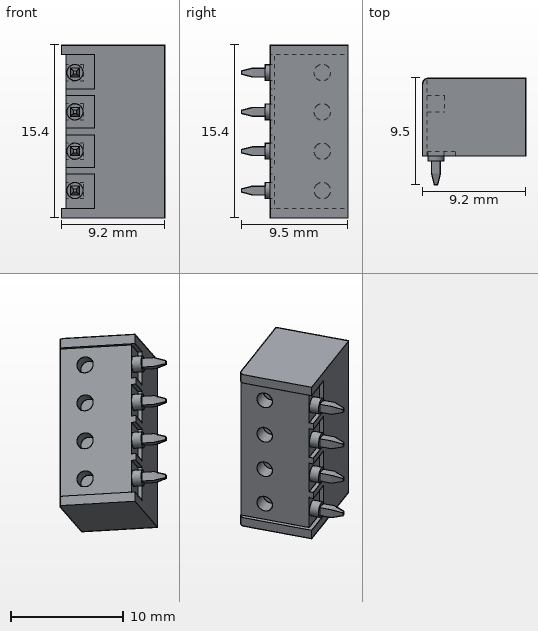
import cadquery as cq

body_width = 9.2
body_depth = 6.93
body_height = 15.39
edge_radius = 0.51

flange_thickness = 0.86
recess_depth = 0.4

contact_count = 4
end_contact_distance = 2.45
contact_pitch = (body_height - 2 * end_contact_distance) / (contact_count - 1)
contact_heights = [end_contact_distance + i * contact_pitch for i in range(contact_count)]

pocket_right_x = 2.94
pocket_depth = 0.4
rib_thickness = 0.6

pin_x = 1.2
collar_diameter = 1.43
collar_projection = 0.46
shank_side = 0.8
tip_side = 0.3
tip_length = 0.98
pin_projection = 2.57

hole_diameter = 1.46
hole_depth = 1.54
hole_y = body_depth - 2.3


def block(x_range, y_range, z_range):
    """Box spanning the given (low, high) limits."""
    size = [high - low for low, high in (x_range, y_range, z_range)]
    corner = (x_range[0], y_range[0], z_range[0])
    return cq.Workplane("XY").box(*size, centered=False).translate(corner)


def make_housing():
    """Solid block with a rounded back edge and a recess between the end flanges."""
    housing = block((0, body_width), (0, body_depth), (0, body_height))
    housing = housing.edges("|Z and <X and >Y").fillet(edge_radius)
    between_flanges = (flange_thickness, body_height - flange_thickness)
    recess = block((0, recess_depth), (0, body_depth), between_flanges)
    pocket = block((0, pocket_right_x), (0, pocket_depth), between_flanges)
    return housing.cut(recess).cut(pocket)


def make_rib(center_z):
    """Divider across the pocket, flush with the recessed face and the -Y face."""
    z_range = (center_z - rib_thickness / 2, center_z + rib_thickness / 2)
    return block((recess_depth, pocket_right_x), (0, pocket_depth), z_range)


def make_hole(z):
    """Cutter for a blind hole running along +X from the recessed face."""
    start = cq.Workplane("YZ", origin=(recess_depth, hole_y, z))
    return start.circle(hole_diameter / 2).extrude(hole_depth)


def make_pin(z):
    """Pin standing on the pocket floor."""
    base = cq.Workplane("XZ", origin=(pin_x, pocket_depth, z))
    collar = base.circle(collar_diameter / 2).extrude(pocket_depth + collar_projection)
    shank_length = pocket_depth + pin_projection - tip_length
    shank = base.rect(shank_side, shank_side).extrude(shank_length)
    tip = (
        base.workplane(offset=shank_length)
        .rect(shank_side, shank_side)
        .workplane(offset=tip_length)
        .rect(tip_side, tip_side)
        .loft(ruled=True)
    )
    return collar.union(shank).union(tip)


result = make_housing()

for lower_z, upper_z in zip(contact_heights, contact_heights[1:]):
    result = result.union(make_rib((lower_z + upper_z) / 2))

for contact_z in contact_heights:
    result = result.cut(make_hole(contact_z))
    result = result.union(make_pin(contact_z))